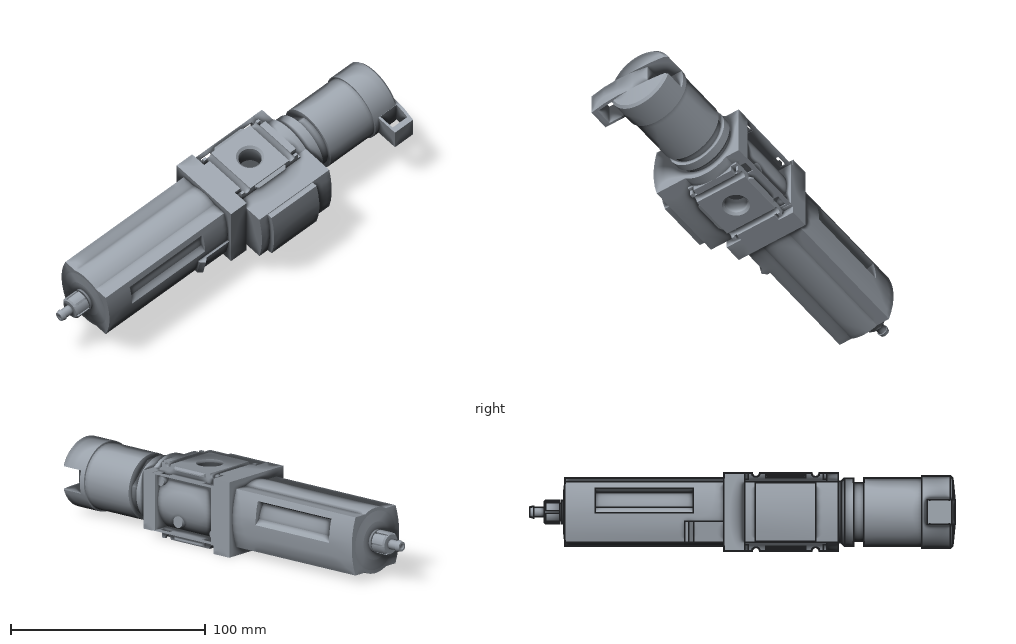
import cadquery as cq
import math

drain_tip = 0.0
barb_top = 2.2
nut_bottom = 7.5
nut_top = 15.5
drain_flange_bottom = 16.4
cone_small_end = 17.5
bowl_bottom = 18.1
flange_bottom = 99.6
flange_top = 110.3
window_bottom = 112.3
window_top = 150.5
port_pad_top = 152.5
housing_top = 158.5
collar_taper_bottom = 160.0
collar_bottom = 161.7
collar_top = 166.3
knob_bottom = 171.5
cap_bottom = 201.2
strap_bottom = 204.0
cap_shoulder = 215.9
cap_rim = 217.2
assembly_top = 218.5

housing_half_width = 21.0
housing_half_height = 20.0
half_thickness = 15.5
wall_outer = 15.3
wall_inner = 14.9
core_diameter = 37.1
port_center = (port_pad_top + flange_top) / 2

pad_half_width = 15.19
corner_half_width = 11.8
post_width = 1.5
post_length = 2.2
corner_length = 4.0
corner_floor = 16.8
groove_radius = 2.0
groove_offset = 15.3
tab_reach = 17.3
tab_root_heights = (17.5, 19.5)
tab_tip_heights = (18.1, 18.8)
tab_half_length = 10.3
tab_chamfer = 1.3
port_diameter = 12.0
port_mouth_diameter = 14.5
port_depth = 11.0
slot_reach = 18.5
slot_length = 6.5
slot_offset = 11.1

boss_face = 18.4
boss_diameter = 6.1
corner_boss_diameter = 5.0
boss_places = [(137.2, -8.7, boss_diameter), (149.2, 11.0, corner_boss_diameter), (113.0, -11.0, corner_boss_diameter)]

block_edge = 30.8
block_crown = 32.8
cover_edge = 33.9
cover_crown = 36.0
cover_half_height = 15.0
cover_half_length = 15.5

collar_diameter = 35.0
collar_small_diameter = 31.7
neck_diameter = 30.2
neck_flat_distance = 12.7
neck_flat_angle = 225

bowl_side = 18.46
bowl_corner = 15.5
bowl_diameter = 35.0
bowl_cone_diameter = 31.2
bowl_cone_small_diameter = 20.0

sight_bottom = 33.6
sight_top = 84.0
sight_floor_diameter = 31.5
sight_low_inner = (15.5, 2.5)
sight_low_outer = (18.5, -0.5)
sight_high_outer = (16.8, 12.2)
sight_high_inner = (12.2, 10.0)

latch_bottom = 84.1
catch_tip = 81.7
catch_bottom = 79.5
latch_top_z = -4.8
latch_thick_x = 19.5
latch_thin_x = 17.3
catch_reach = 2.2

drain_neck_diameter = 9.2
nut_diameter = 12.0
nut_chamfer = 0.9
nut_grooves = 6
nut_groove_width = 1.0
nut_groove_depth = 0.9
nozzle_diameter = 5.0
barb_diameter = 6.1
drain_bore_diameter = 3.0

knob_diameter = 35.2
cap_diameter = 37.1
strap_width = 12.5
strap_travel = 12.7
strap_half_length = 17.7
strap_crown_radius = 80.8
strap_bar = 1.3
strap_crown_bar = 1.7
strap_end_bar = 3.3


def box(x0, x1, y0, y1, z0, z1):
    """A box between two opposite corners."""
    return cq.Workplane("XY").box(x1 - x0, y1 - y0, z1 - z0, centered=False).translate((x0, y0, z0))


def rod(diameter, y0, y1):
    """A round bar on the Y axis."""
    return cq.Workplane("XZ", origin=(0, y0, 0)).circle(diameter / 2).extrude(y0 - y1)


def turned(profile):
    """A solid turned about the Y axis from (radius, y) points."""
    return cq.Workplane("XY").polyline(profile).close().revolve(360, (0, 0), (0, 1))


def crowned_block(x0, edge, crown, half_height, y0, y1):
    """A block whose +X face bulges from edge to crown."""
    return (
        cq.Workplane("XZ", origin=(0, y0, 0))
        .moveTo(x0, -half_height)
        .lineTo(edge, -half_height)
        .threePointArc((crown, 0), (edge, half_height))
        .lineTo(x0, half_height)
        .close()
        .extrude(y0 - y1)
    )


def pad_tabs():
    """The tapered tabs on both X sides of a port pad, with bevelled ends."""
    root_low, root_high = tab_root_heights
    tip_low, tip_high = tab_tip_heights
    profile = [
        (-tab_reach, tip_low),
        (-pad_half_width, root_low),
        (pad_half_width, root_low),
        (tab_reach, tip_low),
        (tab_reach, tip_high),
        (pad_half_width, root_high),
        (-pad_half_width, root_high),
        (-tab_reach, tip_high),
    ]
    tabs = cq.Workplane("XZ").polyline(profile).close().extrude(tab_half_length, both=True)
    outline = (
        cq.Workplane("XY")
        .rect(2 * tab_reach, 2 * tab_half_length)
        .extrude(housing_half_height)
        .edges("|Z")
        .chamfer(tab_chamfer)
    )
    return tabs.intersect(outline).translate((0, port_center, 0))


def port_pad():
    """The pad on the +Z side with its grooves, corner steps and tabs."""
    pad = box(-pad_half_width, pad_half_width, flange_top, port_pad_top, wall_inner, housing_half_height)
    pad = pad.union(pad_tabs())
    half_length = (port_pad_top - flange_top) / 2
    for side in (-1, 1):
        for end in (-1, 1):
            corner = (
                cq.Workplane("XY")
                .rect(2 * (pad_half_width - corner_half_width), 2 * corner_length)
                .extrude(housing_half_height)
                .translate((side * pad_half_width, port_center + end * half_length, corner_floor))
            )
            post = (
                cq.Workplane("XY", origin=(0, 0, corner_floor))
                .rect(post_width, post_length)
                .extrude(housing_half_height - corner_floor)
                .translate(
                    (
                        side * (pad_half_width - post_width / 2),
                        port_center + end * (half_length - corner_length + post_length / 2),
                        0,
                    )
                )
            )
            pad = pad.cut(corner).union(post)
    for end in (-1, 1):
        groove = (
            cq.Workplane("YZ", origin=(-housing_half_width, port_center + end * groove_offset, housing_half_height))
            .circle(groove_radius)
            .extrude(2 * housing_half_width)
        )
        pad = pad.cut(groove)
    return pad


def port():
    """The blind port hole with its countersunk mouth, opening to +Z."""
    mouth_depth = (port_mouth_diameter - port_diameter) / 2
    top = housing_half_height
    return (
        cq.Workplane("XZ")
        .moveTo(0, top)
        .lineTo(port_mouth_diameter / 2, top)
        .lineTo(port_diameter / 2, top - mouth_depth)
        .lineTo(port_diameter / 2, top - port_depth)
        .lineTo(0, top - port_depth)
        .close()
        .revolve(360, (0, 0), (0, 1))
        .translate((0, port_center, 0))
    )


def housing():
    """The housing with its open -X side, gauge block and two port pads."""
    w = housing_half_width
    body = box(-w, w, flange_bottom, flange_top, -housing_half_height, housing_half_height)
    body = body.union(box(-w, w, flange_bottom, port_pad_top, -wall_outer, wall_outer))
    body = body.union(box(-w, w, flange_bottom, window_bottom, -half_thickness, half_thickness))
    body = body.union(box(-w, w, port_pad_top, housing_top, -half_thickness, half_thickness))
    body = body.union(rod(2 * housing_half_height, port_pad_top, housing_top))

    opening = box(-w, 0, window_bottom, window_top, -wall_inner, wall_inner)
    body = body.cut(opening.cut(rod(core_diameter, window_bottom, window_top)))
    for y, z, diameter in boss_places:
        boss = cq.Workplane("YZ", origin=(-boss_face, y, z)).circle(diameter / 2).extrude(boss_face)
        body = body.union(boss)

    body = body.union(crowned_block(0, block_edge, block_crown, half_thickness, flange_top, housing_top))
    body = body.union(
        crowned_block(
            0, cover_edge, cover_crown, cover_half_height,
            port_center - cover_half_length, port_center + cover_half_length,
        )
    )

    for turn in (False, True):
        pad = port_pad()
        hole = port()
        slots = cq.Workplane("XY")
        for end in (-1, 1):
            y = port_center + end * (slot_offset + slot_length / 2)
            slots = slots.union(
                box(-slot_reach, -pad_half_width, y - slot_length / 2, y + slot_length / 2, wall_inner, wall_outer)
            )
        if turn:
            pad, hole, slots = (shape.mirror("XY") for shape in (pad, hole, slots))
        body = body.union(pad).cut(hole).cut(slots)
    return body


def neck():
    """The stepped collar and the neck with its slanted flat."""
    collar = turned(
        [
            (0, housing_top),
            (collar_small_diameter / 2, housing_top),
            (collar_small_diameter / 2, collar_taper_bottom),
            (collar_diameter / 2, collar_bottom),
            (collar_diameter / 2, collar_top),
            (0, collar_top),
        ]
    )
    stem = rod(neck_diameter, collar_top, knob_bottom)
    beyond_flat = (
        box(neck_flat_distance, neck_diameter, collar_top, knob_bottom, -neck_diameter, neck_diameter)
        .rotate((0, 0, 0), (0, 1, 0), neck_flat_angle)
    )
    return collar.union(stem.cut(beyond_flat))


def bowl():
    """The bowl with its coned end and two sight windows."""
    c = bowl_corner
    body = (
        cq.Workplane("XZ", origin=(0, bowl_bottom, 0))
        .moveTo(-c, -c)
        .lineTo(c, -c)
        .threePointArc((bowl_side, 0), (c, c))
        .lineTo(-c, c)
        .threePointArc((-bowl_side, 0), (-c, -c))
        .close()
        .extrude(bowl_bottom - flange_bottom)
    )
    body = body.union(rod(bowl_diameter, bowl_bottom, flange_bottom))
    body = body.union(
        turned(
            [
                (0, bowl_bottom),
                (bowl_cone_diameter / 2, bowl_bottom),
                (bowl_cone_small_diameter / 2, cone_small_end),
                (0, cone_small_end),
            ]
        )
    )
    outside = bowl_diameter
    points = [
        sight_low_inner,
        sight_low_outer,
        (outside, sight_low_outer[1]),
        (outside, sight_high_outer[1]),
        sight_high_outer,
        sight_high_inner,
    ]
    sight = (
        cq.Workplane("XZ", origin=(0, sight_bottom, 0))
        .polyline(points)
        .close()
        .extrude(sight_bottom - sight_top)
        .cut(rod(sight_floor_diameter, sight_bottom, sight_top))
    )
    return body.cut(sight).cut(sight.mirror("YZ"))


def latch():
    """The latch bar on the bowl's +X side, ending in a pointed catch."""
    bar = (
        cq.Workplane("XZ", origin=(0, latch_bottom, 0))
        .polyline([(0, latch_top_z), (latch_thick_x, latch_top_z), (latch_thin_x, -bowl_corner), (0, -bowl_corner)])
        .close()
        .extrude(latch_bottom - flange_bottom)
    )

    def section(plane_z, x):
        return cq.Wire.makePolygon(
            [
                cq.Vector(0, latch_bottom, plane_z),
                cq.Vector(x, latch_bottom, plane_z),
                cq.Vector(x + catch_reach, catch_tip, plane_z),
                cq.Vector(x, catch_bottom, plane_z),
                cq.Vector(0, catch_bottom, plane_z),
            ],
            close=True,
        )

    catch = cq.Solid.makeLoft([section(-bowl_corner, latch_thin_x), section(latch_top_z, latch_thick_x)], True)
    return bar.union(cq.Workplane(catch))


def drain():
    """The drain screw with its grooved nut and barbed hose nozzle."""
    body = rod(drain_neck_diameter, nut_top, cone_small_end)
    body = body.union(rod(nut_diameter, drain_flange_bottom, cone_small_end))
    nut = rod(nut_diameter, nut_bottom, nut_top).faces("<Y").chamfer(nut_chamfer)
    groove = box(
        nut_diameter / 2 - nut_groove_depth, nut_diameter, nut_bottom, nut_top,
        -nut_groove_width / 2, nut_groove_width / 2,
    )
    for i in range(nut_grooves):
        nut = nut.cut(groove.rotate((0, 0, 0), (0, 1, 0), 360 * i / nut_grooves))
    body = body.union(nut).union(rod(nozzle_diameter, barb_top, nut_bottom))
    barb = [(0, barb_top), (barb_diameter / 2, barb_top), (nozzle_diameter / 2, drain_tip), (0, drain_tip)]
    body = body.union(turned(barb))
    return body.cut(rod(drain_bore_diameter, drain_tip, nut_bottom))


def strap_outline(x_center):
    """The strap's outer shape across its slot, with a crowned top."""
    half = strap_half_length
    sag = strap_crown_radius - math.sqrt(strap_crown_radius**2 - half**2)
    return (
        cq.Workplane("XY", origin=(x_center, 0, -strap_width / 2))
        .moveTo(-half, strap_bottom)
        .lineTo(half, strap_bottom)
        .lineTo(half, assembly_top - sag)
        .threePointArc((0, assembly_top), (-half, assembly_top - sag))
        .close()
        .extrude(strap_width)
    )


def lock_strap():
    """The lock strap, slid out towards +X, with its padlock eye."""
    end = strap_travel + strap_half_length
    eye = box(
        knob_diameter / 2, end - strap_end_bar, strap_bottom + strap_bar, assembly_top,
        -strap_width, strap_width,
    )
    under_crown = strap_outline(strap_travel).translate((0, -strap_crown_bar, 0))
    return strap_outline(strap_travel).cut(eye.intersect(under_crown))


def knob():
    """The adjusting knob with its crowned cap and the slot for the strap."""
    body = rod(knob_diameter, knob_bottom, cap_bottom)
    rim_radius = cap_diameter / 2 - (cap_rim - cap_shoulder)
    crown_radius = (rim_radius**2 + (assembly_top - cap_rim) ** 2) / (2 * (assembly_top - cap_rim))
    mid = rim_radius / 2
    mid_y = assembly_top - crown_radius + math.sqrt(crown_radius**2 - mid**2)
    cap = (
        cq.Workplane("XY")
        .moveTo(0, cap_bottom)
        .lineTo(cap_diameter / 2, cap_bottom)
        .lineTo(cap_diameter / 2, cap_shoulder)
        .lineTo(rim_radius, cap_rim)
        .threePointArc((mid, mid_y), (0, assembly_top))
        .close()
        .revolve(360, (0, 0), (0, 1))
    )
    slot = box(-cap_diameter, cap_diameter, strap_bottom, assembly_top, -strap_width / 2, strap_width / 2)
    return body.union(cap).cut(slot)


regulator = housing().union(neck()).union(bowl()).union(latch()).union(drain())
adjusting_knob = knob()
strap = lock_strap()

result = cq.Compound.makeCompound([regulator.val(), adjusting_knob.val(), strap.val()])